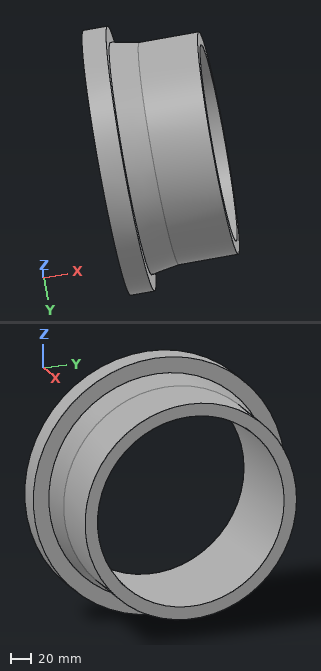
import cadquery as cq

total_length = 113.0
flange_thickness = 24.5
taper_end = 53.0

flange_diameter = 268.0
taper_diameter = 235.0
pipe_diameter = 225.0
pipe_wall = 13.4

flange_radius = flange_diameter / 2
taper_radius = taper_diameter / 2
pipe_radius = pipe_diameter / 2
bore_radius = pipe_radius - pipe_wall


def make_collar():
    """Revolve the half section (X along the axis, Y as radius) about X."""
    half_section = (
        cq.Workplane("XY")
        .moveTo(0, bore_radius)
        .lineTo(0, flange_radius)
        .lineTo(flange_thickness, flange_radius)
        .lineTo(flange_thickness, taper_radius)
        .lineTo(taper_end, pipe_radius)
        .lineTo(total_length, pipe_radius)
        .lineTo(total_length, bore_radius)
        .close()
    )
    return half_section.revolve(360, (0, 0, 0), (1, 0, 0))


result = make_collar()